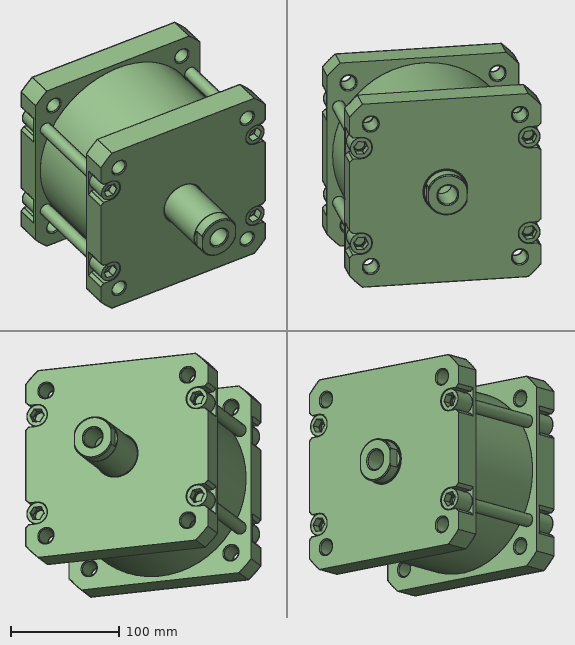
import cadquery as cq
import math

plate_thickness = 25.0
barrel_length = 87.0
rear_projection = 12.5
front_projection = 62.0
front_plate_start = plate_thickness + barrel_length
front_face = front_plate_start + plate_thickness
middle = front_face / 2

plate_size = 180.0
corner_circle_dia = 238.0
mount_hole_dia = 14.0
mount_hole_chamfer = 1.0
mount_hole_offset = 70.0
bore_chamfer = 1.0

barrel_dia = 170.0

tie_rod_dia = 12.0
tie_rod_y = 79.0
tie_rod_z = 47.0
head_dia = 20.0
head_recess = 0.5
socket_across_flats = 12.0
socket_depth = 8.0
socket_tilt = 6.0
socket_floor_hole_dia = 10.5
socket_floor_hole_depth = 2.0
pocket_depth = 21.0
pocket_width = 21.0
pocket_flare = 3.0

rod_dia = 40.0
rod_end_chamfer = 1.0
neck_dia = 39.6
neck_length = 12.0
wrench_across_flats = 36.0
wrench_flat_length = 10.0
tap_hole_dia = 18.5
tap_hole_depth = 30.0
tap_hole_mouth_dia = 20.5
drill_point_angle = 118.0

tie_rod_points = [(y, z) for y in (-tie_rod_y, tie_rod_y) for z in (-tie_rod_z, tie_rod_z)]
mount_points = [(y, z) for y in (-mount_hole_offset, mount_hole_offset)
                for z in (-mount_hole_offset, mount_hole_offset)]


def section(x):
    """Workplane across the X axis at x, with local axes along Y and Z."""
    return cq.Workplane("YZ", origin=(x, 0, 0))


def to_front(body):
    """Mirror a rear-end shape to the front end of the cylinder."""
    return body.mirror("YZ", (middle, 0, 0))


def make_head_pocket(y, z):
    """Cutter for one open-sided head pocket, flared at 45 degrees where it meets the plate edge."""
    half_width = pocket_width / 2
    side = math.copysign(1, y)
    edge = side * plate_size / 2
    flare_start = edge - side * pocket_flare
    flare_half_width = half_width + pocket_flare
    return (
        section(0)
        .moveTo(y, z + half_width)
        .lineTo(flare_start, z + half_width)
        .lineTo(edge, z + flare_half_width)
        .lineTo(edge, z - flare_half_width)
        .lineTo(flare_start, z - half_width)
        .lineTo(y, z - half_width)
        .threePointArc((y - side * half_width, z), (y, z + half_width))
        .close()
        .extrude(pocket_depth)
    )


def make_rear_plate():
    """Square plate with corners turned round, mounting holes, rod bore and head pockets."""
    plate = section(0).rect(plate_size, plate_size).extrude(plate_thickness)
    plate = plate.intersect(section(0).circle(corner_circle_dia / 2).extrude(plate_thickness))
    mount_holes = section(0).pushPoints(mount_points).circle(mount_hole_dia / 2).extrude(plate_thickness)
    plate = plate.cut(mount_holes)
    plate = plate.edges(cq.selectors.RadiusNthSelector(0)).chamfer(mount_hole_chamfer)
    plate = plate.cut(section(0).circle(rod_dia / 2).extrude(plate_thickness))
    bore_mouth = cq.Solid.makeCone(
        rod_dia / 2 + bore_chamfer, rod_dia / 2, bore_chamfer, cq.Vector(0, 0, 0), cq.Vector(1, 0, 0)
    )
    plate = plate.cut(cq.Workplane(bore_mouth))
    for y, z in tie_rod_points:
        plate = plate.cut(make_head_pocket(y, z))
    return plate.cut(section(0).pushPoints(tie_rod_points).circle(tie_rod_dia / 2).extrude(plate_thickness))


def make_barrel():
    """Round barrel between the plates, bored for the piston rod."""
    return section(plate_thickness).circle(barrel_dia / 2).circle(rod_dia / 2).extrude(barrel_length)


def make_socket(y, z):
    """Cutter for the slightly turned hexagon socket in a rear head, with a round hole in its floor."""
    across_corners = socket_across_flats / math.cos(math.pi / 6)
    hexagon = cq.Workplane("YZ").polygon(6, across_corners).extrude(socket_depth)
    hexagon = hexagon.rotate((0, 0, 0), (1, 0, 0), math.copysign(socket_tilt, y))
    floor_hole_reach = socket_depth + socket_floor_hole_depth
    floor_hole = cq.Workplane("YZ").circle(socket_floor_hole_dia / 2).extrude(floor_hole_reach)
    return hexagon.union(floor_hole).translate((head_recess, y, z))


def make_tie_rod(y, z):
    """Tie rod with a socket head at each end, seated on the pocket floors."""
    shank_length = front_face - 2 * pocket_depth
    tie_rod = section(pocket_depth).center(y, z).circle(tie_rod_dia / 2).extrude(shank_length)
    head = section(head_recess).center(y, z).circle(head_dia / 2).extrude(pocket_depth - head_recess)
    head = head.cut(make_socket(y, z))
    return tie_rod.union(head).union(to_front(head))


def make_wrench_flat(end_x, direction, side):
    """Cutter for one wrench flat with a 45 degree run-out; direction points out of the cylinder."""
    flat_y = side * wrench_across_flats / 2
    surface_y = side * neck_dia / 2
    flat_end = end_x - direction * wrench_flat_length
    runout_end = flat_end - direction * abs(surface_y - flat_y)
    return (
        cq.Workplane("XY")
        .polyline([(end_x, flat_y), (flat_end, flat_y), (runout_end, surface_y), (end_x, surface_y)])
        .close()
        .extrude(rod_dia / 2, both=True)
    )


def make_tap_hole(end_x, direction):
    """Cutter for a drilled centre hole with a chamfered mouth and a drill point."""
    radius = tap_hole_dia / 2
    mouth_radius = tap_hole_mouth_dia / 2
    mouth_depth = mouth_radius - radius
    point_depth = radius / math.tan(math.radians(drill_point_angle / 2))
    return (
        cq.Workplane("XY")
        .moveTo(end_x, 0)
        .lineTo(end_x, mouth_radius)
        .lineTo(end_x - direction * mouth_depth, radius)
        .lineTo(end_x - direction * tap_hole_depth, radius)
        .lineTo(end_x - direction * (tap_hole_depth + point_depth), 0)
        .close()
        .revolve(360, (0, 0, 0), (1, 0, 0))
    )


def make_piston_rod():
    """Through rod with a slightly smaller neck, wrench flats and a tap hole at each end."""
    rear_end = -rear_projection
    front_end = front_face + front_projection
    rod_length = front_end - rear_end
    necks = section(rear_end).circle(neck_dia / 2).extrude(rod_length)
    shank = section(rear_end + neck_length).circle(rod_dia / 2).extrude(rod_length - 2 * neck_length)
    piston_rod = necks.union(shank)
    piston_rod = piston_rod.faces("<X or >X").chamfer(rod_end_chamfer)
    for end_x, direction in ((rear_end, -1), (front_end, 1)):
        piston_rod = piston_rod.cut(make_tap_hole(end_x, direction))
        for side in (-1, 1):
            piston_rod = piston_rod.cut(make_wrench_flat(end_x, direction, side))
    return piston_rod


rear_plate = make_rear_plate()
front_plate = to_front(rear_plate)
barrel = make_barrel()
piston_rod = make_piston_rod()
tie_rods = [make_tie_rod(y, z) for y, z in tie_rod_points]

result = cq.Compound.makeCompound(
    [rear_plate.val(), front_plate.val(), barrel.val(), piston_rod.val()]
    + [tie_rod.val() for tie_rod in tie_rods]
)